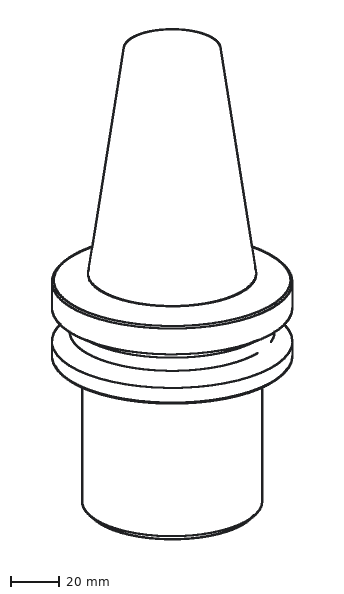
import cadquery as cq
import math

total_height = 206.8
gauge_height = 104.8
flange_top = 102.0
flange_bottom = 67.0
groove_upper_edge = 89.5
groove_lower_edge = 74.5

flange_radius = 99.9 / 2
groove_root_radius = 42.5
nose_radius = 37.5
gauge_radius = 35.0
neck_radius = 34.5
taper_ratio = 7 / 24

nose_chamfer = 2.5
flange_chamfer = 0.8
nose_fillet = 1.0
groove_fillet = 0.6
neck_fillet = 0.6
tip_fillet = 1.0

taper_length = total_height - gauge_height
tip_radius = gauge_radius - taper_length * taper_ratio / 2
groove_flank_angle = math.radians(30)
groove_flank_drop = (flange_radius - groove_root_radius) * math.tan(groove_flank_angle)


def revolve_profile(points):
    """Revolve a closed (radius, height) outline about the Z axis."""
    return cq.Workplane("XZ").polyline(points).close().revolve(360, (0, 0), (0, 1))


def fillet_circle(body, height, radius, size):
    """Round the circular edge of the given radius at the given height."""
    margin = 0.1
    edge_box = cq.selectors.BoxSelector(
        (-radius - margin, -radius - margin, height - margin),
        (radius + margin, radius + margin, height + margin),
        boundingbox=True,
    )
    return body.edges(edge_box).fillet(size)


holder = revolve_profile([
    (0, 0),
    (nose_radius - nose_chamfer, 0),
    (nose_radius, nose_chamfer),
    (nose_radius, flange_bottom),
    (flange_radius - flange_chamfer, flange_bottom),
    (flange_radius, flange_bottom + flange_chamfer),
    (flange_radius, groove_lower_edge),
    (groove_root_radius, groove_lower_edge + groove_flank_drop),
    (groove_root_radius, groove_upper_edge - groove_flank_drop),
    (flange_radius, groove_upper_edge),
    (flange_radius, flange_top - flange_chamfer),
    (flange_radius - flange_chamfer, flange_top),
    (neck_radius, flange_top),
    (neck_radius, gauge_height),
    (gauge_radius, gauge_height),
    (tip_radius, total_height),
    (0, total_height),
])

holder = fillet_circle(holder, flange_bottom, nose_radius, nose_fillet)
holder = fillet_circle(
    holder, groove_lower_edge + groove_flank_drop, groove_root_radius, groove_fillet)
holder = fillet_circle(
    holder, groove_upper_edge - groove_flank_drop, groove_root_radius, groove_fillet)
holder = fillet_circle(holder, flange_top, neck_radius, neck_fillet)
result = fillet_circle(holder, total_height, tip_radius, tip_fillet)